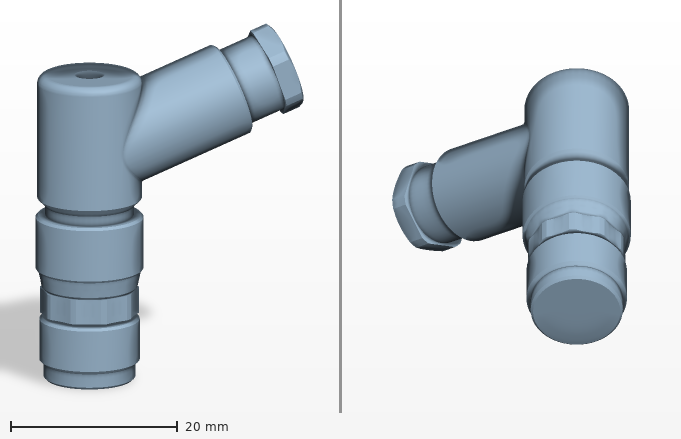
import cadquery as cq
import math

COLLAR_BASE_Z = 2.0
COLLAR_TOP_Z = 7.7
KNURL_BASE_Z = 8.22
KNURL_TOP_Z = 11.25
CONE_TOP_Z = 13.5
SLEEVE_TOP_Z = 20.35
BODY_BASE_Z = 21.55
BODY_TOP_Z = 37.75

EDGE_CHAMFER = 0.3

TIP_RADIUS = 5.52
COLLAR_RADIUS = 6.03
COLLAR_BASE_CHAMFER = 0.42
PLUG_NECK_RADIUS = 3.8
NECK_FLARE = 0.15
NECK_FLARE_HEIGHT = 0.25
KNURL_RADIUS = 5.95
RIB_COUNT = 10
RIB_WIDTH = 0.7
SCALLOP_RADIUS = 10.0

SLEEVE_RADIUS = 6.5
CONE_BOTTOM_RADIUS = 5.78

BODY_RADIUS = 6.3
BODY_NECK_RADIUS = 5.3
BODY_TOP_FILLET = 1.0
DIMPLE_RADIUS = 1.8
DIMPLE_DEPTH = 0.6
ARM_TILT = 20.0
ARM_AXIS_Z = 28.1
ARM_RADIUS = 5.78
ARM_LENGTH = 19.05
ARM_ROOT_FILLET = 0.3

NUT_SHANK_RADIUS = 4.8
NUT_HEX_START = 23.65
NUT_END = 26.15
NUT_FLATS = 10.15
NUT_CORNER_RADIUS = 5.55
NUT_FACE_RADIUS = 4.97
NUT_CHAMFER_LENGTH = 0.4


def turned(profile):
    """Revolve a closed (radius, height) outline about the Z axis."""
    return cq.Workplane("XZ").polyline(profile).close().revolve(360, (0, 0), (0, 1))


def arm_plane(distance):
    """Workplane square to the arm axis, at a distance from the body axis."""
    tilt = math.radians(ARM_TILT)
    direction = cq.Vector(0, math.cos(tilt), math.sin(tilt))
    origin = cq.Vector(0, 0, ARM_AXIS_Z) + direction * distance
    return cq.Workplane(cq.Plane(origin=origin, xDir=(1, 0, 0), normal=direction))


def make_grip_ring():
    """Ring with narrow ribs left between shallow concave scallops."""
    height = KNURL_TOP_Z - KNURL_BASE_Z
    ring = cq.Workplane("XY").workplane(offset=KNURL_BASE_Z).circle(KNURL_RADIUS).extrude(height)
    rib_half_angle = math.asin(RIB_WIDTH / 2 / KNURL_RADIUS)
    scallop_half_angle = math.pi / RIB_COUNT - rib_half_angle
    half_chord = KNURL_RADIUS * math.sin(scallop_half_angle)
    chord_distance = KNURL_RADIUS * math.cos(scallop_half_angle)
    cutter_distance = chord_distance + math.sqrt(SCALLOP_RADIUS**2 - half_chord**2)
    cutter = (
        cq.Workplane("XY")
        .workplane(offset=KNURL_BASE_Z)
        .center(0, cutter_distance)
        .circle(SCALLOP_RADIUS)
        .extrude(height)
    )
    for index in range(RIB_COUNT):
        ring = ring.cut(cutter.rotate((0, 0, 0), (0, 0, 1), index * 360 / RIB_COUNT))
    return ring


def make_plug():
    """Tip, collar and undercut neck turned in one piece with the grip ring."""
    collar_chamfer_radius = COLLAR_RADIUS - COLLAR_BASE_CHAMFER
    stem = turned([
        (0, 0),
        (TIP_RADIUS - EDGE_CHAMFER, 0),
        (TIP_RADIUS, EDGE_CHAMFER),
        (TIP_RADIUS, COLLAR_BASE_Z),
        (collar_chamfer_radius, COLLAR_BASE_Z),
        (COLLAR_RADIUS, COLLAR_BASE_Z + COLLAR_BASE_CHAMFER),
        (COLLAR_RADIUS, COLLAR_TOP_Z - EDGE_CHAMFER),
        (COLLAR_RADIUS - EDGE_CHAMFER, COLLAR_TOP_Z),
        (PLUG_NECK_RADIUS, COLLAR_TOP_Z),
        (PLUG_NECK_RADIUS, KNURL_BASE_Z - NECK_FLARE_HEIGHT),
        (PLUG_NECK_RADIUS + NECK_FLARE, KNURL_BASE_Z),
        (0, KNURL_BASE_Z),
    ])
    return stem.union(make_grip_ring())


def make_sleeve():
    """Cylindrical sleeve tapering down to the grip ring."""
    return turned([
        (0, KNURL_TOP_Z),
        (CONE_BOTTOM_RADIUS - EDGE_CHAMFER, KNURL_TOP_Z),
        (CONE_BOTTOM_RADIUS, KNURL_TOP_Z + EDGE_CHAMFER),
        (SLEEVE_RADIUS - EDGE_CHAMFER, CONE_TOP_Z),
        (SLEEVE_RADIUS, CONE_TOP_Z + EDGE_CHAMFER),
        (SLEEVE_RADIUS, SLEEVE_TOP_Z - EDGE_CHAMFER),
        (SLEEVE_RADIUS - EDGE_CHAMFER, SLEEVE_TOP_Z),
        (0, SLEEVE_TOP_Z),
    ])


def make_dimple():
    """Sphere that leaves a shallow round dimple in the top of the body."""
    sphere_radius = (DIMPLE_RADIUS**2 + DIMPLE_DEPTH**2) / (2 * DIMPLE_DEPTH)
    centre_z = BODY_TOP_Z + sphere_radius - DIMPLE_DEPTH
    return cq.Workplane("XY").sphere(sphere_radius).translate((0, 0, centre_z))


def make_housing():
    """Upright body on its neck, with the cable arm leaving at an angle."""
    shoulder_top_z = BODY_BASE_Z + BODY_RADIUS - BODY_NECK_RADIUS
    body = turned([
        (0, SLEEVE_TOP_Z),
        (BODY_NECK_RADIUS, SLEEVE_TOP_Z),
        (BODY_NECK_RADIUS, BODY_BASE_Z),
        (BODY_RADIUS, shoulder_top_z),
        (BODY_RADIUS, BODY_TOP_Z),
        (0, BODY_TOP_Z),
    ])
    body = body.faces(">Z").edges().fillet(BODY_TOP_FILLET)
    arm = arm_plane(0).circle(ARM_RADIUS).extrude(ARM_LENGTH)
    arm = arm.faces(">Y").edges().chamfer(EDGE_CHAMFER)
    housing = body.union(arm)
    joint_region = cq.selectors.BoxSelector(
        (-BODY_RADIUS, 0, shoulder_top_z),
        (BODY_RADIUS, BODY_RADIUS, BODY_TOP_Z - BODY_TOP_FILLET),
    )
    housing = housing.edges(joint_region).edges("not(%CIRCLE or %LINE)").fillet(ARM_ROOT_FILLET)
    return housing.cut(make_dimple())


def make_gland_nut():
    """Round shank seated on the arm end, carrying a truncated hexagon head."""
    shank = arm_plane(ARM_LENGTH).circle(NUT_SHANK_RADIUS).extrude(NUT_HEX_START - ARM_LENGTH)
    head_length = NUT_END - NUT_HEX_START
    across_corners = NUT_FLATS / math.cos(math.pi / 6)
    hexagon = (
        arm_plane(NUT_HEX_START)
        .transformed(rotate=(0, 0, 90))
        .polygon(6, across_corners)
        .extrude(head_length)
    )
    envelope = arm_plane(NUT_HEX_START).circle(NUT_CORNER_RADIUS).extrude(head_length)
    envelope = envelope.faces(">Y").chamfer(NUT_CHAMFER_LENGTH, NUT_CORNER_RADIUS - NUT_FACE_RADIUS)
    return shank.union(hexagon.intersect(envelope))


plug = make_plug()
sleeve = make_sleeve()
housing = make_housing()
gland_nut = make_gland_nut()
result = cq.Compound.makeCompound([plug.val(), sleeve.val(), housing.val(), gland_nut.val()])